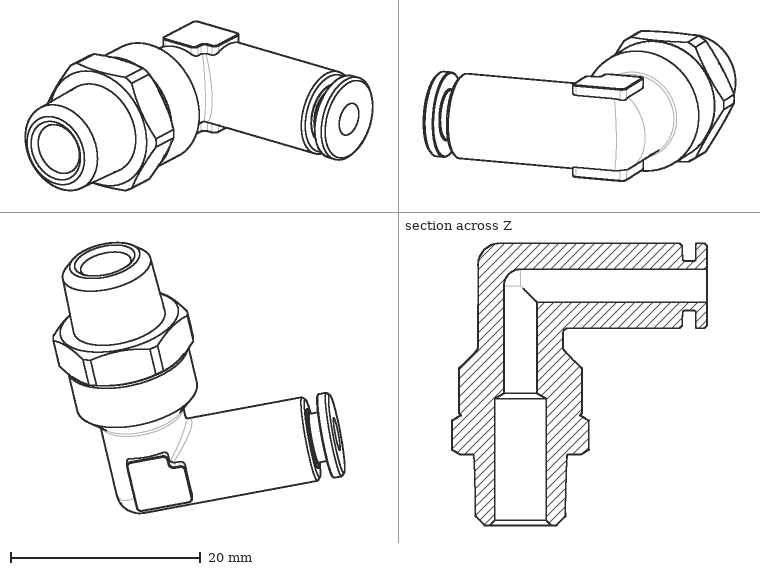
import cadquery as cq
import math


overall_length = 29.8

leg_radius = 4.5
corner_rounding = 2.32
crotch_rounding = 0.5
blend_half_height = 4.02

pad_size = 6.0
pad_outer = 2.24
pad_height = 5.0
pad_notch = 1.55
pad_corner_radius = 0.5
pad_edge_chamfer = 0.1

body_radius = 6.5
cone_end = 8.7
cone_angle = 45
body_end = 13.7
body_chamfer = 0.25
neck_fillet = 0.57
hex_end = 17.82
thread_root_radius = 4.95
thread_tip_radius = 4.77
thread_tip_chamfer = 0.98
leg_end = overall_length - leg_radius

hex_across_flats = 2 * body_radius
hex_corner_radius = 7.25
hex_face_radius = 6.38
hex_chamfer_angle = 30

arm_end = 17.08
arm_chamfer = 0.3
lip_radius = 3.2
lip_length = 0.05
collar_neck_radius = 2.62
collar_neck_bevel = 0.12
collar_start = 18.48
collar_end = 19.7
collar_back_chamfer = 0.1
collar_front_chamfer = 0.3

bore_radius = 2.7
bore_chamfer = 0.55
bore_cone_start = 11.92
bore_cone_angle = 60
passage_radius = 1.73


upright_leg_plane = cq.Plane(origin=(0, 0, 0), xDir=(0, 0, 1), normal=(-1, 0, 0))


def revolve_about_y(points):
    """Solid of revolution about the Y axis from (radius, distance along -Y) points."""
    outline = [(radius, -distance) for radius, distance in points]
    return cq.Workplane(upright_leg_plane).polyline(outline).close().revolve(360, (0, 0), (0, 1))


def revolve_about_x(points):
    """Solid of revolution about the X axis from (x, radius) points."""
    return cq.Workplane("XZ").polyline(points).close().revolve(360, (0, 0), (1, 0))


def leg_cylinders(overrun):
    """Both legs as plain cylinders with seams at the top, running past the origin by the overrun."""
    down_plane = cq.Plane(origin=(0, overrun, 0), xDir=(0, 0, 1), normal=(0, -1, 0))
    side_plane = cq.Plane(origin=(-overrun, 0, 0), xDir=(0, 0, 1), normal=(1, 0, 0))
    length = overrun + 2 * leg_radius
    down_leg = cq.Workplane(down_plane).circle(leg_radius).extrude(length)
    side_leg = cq.Workplane(side_plane).circle(leg_radius).extrude(length)
    return down_leg, side_leg


def make_elbow():
    """Mitred elbow with a rounded outer corner and a small fillet in the crotch."""
    down_leg, side_leg = leg_cylinders(2 * leg_radius)
    reach = 4 * leg_radius
    ends = [(-reach, reach), (reach, -reach)]
    below_mitre = cq.Workplane("XY").polyline(ends + [(-reach, -reach)]).close()
    above_mitre = cq.Workplane("XY").polyline(ends + [(reach, reach)]).close()
    down_half = down_leg.intersect(below_mitre.extrude(blend_half_height, both=True))
    side_half = side_leg.intersect(above_mitre.extrude(blend_half_height, both=True))
    core = down_half.union(side_half)
    near = math.sqrt(leg_radius ** 2 - blend_half_height ** 2)
    far = leg_radius + 0.3
    outer_corner = cq.selectors.BoxSelector((-far, near, -0.3), (-near, far, 0.3))
    crotch = cq.selectors.BoxSelector((near, -far, -0.3), (far, -near, 0.3))
    core = core.edges(outer_corner).fillet(corner_rounding)
    core = core.edges(crotch).fillet(crotch_rounding)
    full_down_leg, full_side_leg = leg_cylinders(0)
    return core.union(full_down_leg).union(full_side_leg)


def make_pads():
    """Square pads with the crotch-side corner notched out, on both faces of the elbow."""
    low = -pad_outer
    high = pad_size - pad_outer
    step = high - pad_notch
    outline = [(low, -low), (high, -low), (high, -step), (step, -step), (step, -high), (low, -high)]
    pads = cq.Workplane("XY").polyline(outline).close().extrude(pad_height, both=True)
    return pads.edges("|Z").fillet(pad_corner_radius).faces("<Z or >Z").chamfer(pad_edge_chamfer)


def make_leg():
    """Swivel body with its cone, and the tapered thread envelope."""
    cone_turn = math.radians(cone_angle)
    half_turn = cone_turn / 2
    cone_start = cone_end - (body_radius - leg_radius) / math.tan(cone_turn)
    setback = neck_fillet * math.tan(half_turn)
    fillet_start = cone_start - setback
    fillet_middle = (
        leg_radius + neck_fillet * (1 - math.cos(half_turn)),
        -(fillet_start + neck_fillet * math.sin(half_turn)),
    )
    fillet_finish = (
        leg_radius + setback * math.sin(cone_turn),
        -(cone_start + setback * math.cos(cone_turn)),
    )
    body = (
        cq.Workplane(upright_leg_plane)
        .moveTo(0, -fillet_start)
        .lineTo(leg_radius, -fillet_start)
        .threePointArc(fillet_middle, fillet_finish)
        .lineTo(body_radius, -cone_end)
        .lineTo(body_radius, -(body_end - body_chamfer))
        .lineTo(body_radius - body_chamfer, -body_end)
        .lineTo(0, -body_end)
        .close()
        .revolve(360, (0, 0), (0, 1))
    )
    thread = revolve_about_y([
        (0, body_end),
        (thread_root_radius, body_end),
        (thread_root_radius, hex_end),
        (thread_tip_radius, leg_end - thread_tip_chamfer),
        (thread_tip_radius - thread_tip_chamfer, leg_end),
        (0, leg_end),
    ])
    return body.union(thread)


def make_hexagon():
    """Hexagon with flats facing +Z and -Z, its corners turned down and chamfered."""
    across_corners = hex_across_flats / math.cos(math.radians(30))
    prism = cq.Workplane("XZ", origin=(0, -body_end, 0)).polygon(6, across_corners)
    prism = prism.extrude(hex_end - body_end)
    chamfer_length = (hex_corner_radius - hex_face_radius) * math.tan(math.radians(hex_chamfer_angle))
    turned = revolve_about_y([
        (0, body_end),
        (hex_face_radius, body_end),
        (hex_corner_radius, body_end + chamfer_length),
        (hex_corner_radius, hex_end - chamfer_length),
        (hex_face_radius, hex_end),
        (0, hex_end),
    ])
    return prism.intersect(turned)


def make_arm():
    """Tube arm ending in a lip and the release collar."""
    lip_end = arm_end + lip_length
    return revolve_about_x([
        (0, 0),
        (0, leg_radius),
        (arm_end - arm_chamfer, leg_radius),
        (arm_end, leg_radius - arm_chamfer),
        (arm_end, lip_radius),
        (lip_end, lip_radius),
        (lip_end, collar_neck_radius + collar_neck_bevel),
        (lip_end + collar_neck_bevel, collar_neck_radius),
        (collar_start - collar_neck_bevel, collar_neck_radius),
        (collar_start, collar_neck_radius + collar_neck_bevel),
        (collar_start, leg_radius - collar_back_chamfer),
        (collar_start + collar_back_chamfer, leg_radius),
        (collar_end - collar_front_chamfer, leg_radius),
        (collar_end, leg_radius - collar_front_chamfer),
        (collar_end, 0),
    ])


def make_passage():
    """Stepped bore up the leg, turning at a ball-ended corner into the arm bore."""
    cone_length = (bore_radius - passage_radius) / math.tan(math.radians(bore_cone_angle))
    leg_bore = revolve_about_y([
        (0, 0),
        (passage_radius, 0),
        (passage_radius, bore_cone_start - cone_length),
        (bore_radius, bore_cone_start),
        (bore_radius, leg_end - bore_chamfer),
        (bore_radius + bore_chamfer, leg_end),
        (0, leg_end),
    ])
    arm_bore = cq.Workplane("YZ").circle(passage_radius).extrude(collar_end)
    corner_ball = cq.Workplane("XY").sphere(passage_radius)
    return leg_bore.union(arm_bore).union(corner_ball)


outside = make_elbow().union(make_pads()).union(make_leg()).union(make_hexagon()).union(make_arm())
result = outside.cut(make_passage())